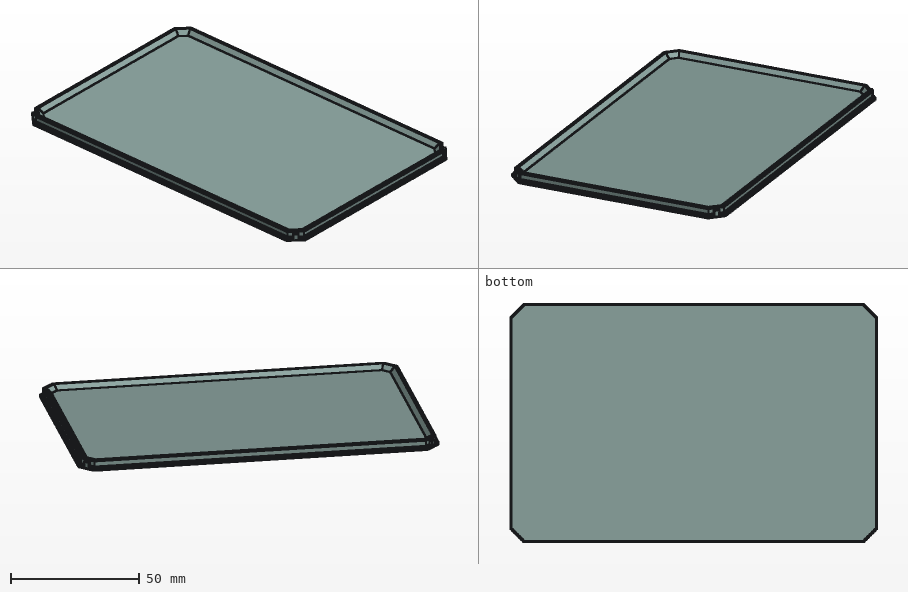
import cadquery as cq
import math

LENGTH = 143.0
WIDTH = 93.0
HEIGHT = 4.0
CORNER_CUT = 5.25


FLANGE_TOP = 0.95
FLANGE_BOTTOM_CHAMFER = 0.4
FLANGE_LEDGE = 0.65

WALL_INSET = 1.13
RIM_TOP_CHAMFER = 0.4
RIM_TOP_INNER_INSET = 2.27

FLOOR_Z = 2.0

TAB_WIDTH = 2.0
TAB_TOP = 3.0
TAB_DEPTH = 1.5


def add_outline(plane, inset):
    """Draw the cut-corner rectangle on a workplane, moved inwards by inset."""
    leg = CORNER_CUT - (2 - math.sqrt(2)) * inset
    x = LENGTH / 2 - inset
    y = WIDTH / 2 - inset
    return plane.polyline([
        (x - leg, -y), (x, leg - y), (x, y - leg), (x - leg, y),
        (leg - x, y), (-x, y - leg), (-x, leg - y), (leg - x, -y),
    ]).close()


def layer(bottom_z, bottom_inset, top_z, top_inset):
    """Solid between two levels, straight or sloped as the insets require."""
    rise = top_z - bottom_z
    base = add_outline(cq.Workplane("XY").workplane(offset=bottom_z), bottom_inset)
    if bottom_inset == top_inset:
        return base.extrude(rise)
    return add_outline(base.workplane(offset=rise), top_inset).loft(ruled=True)


def make_body():
    """Stack the flange and the rim wall as one solid block."""
    wall_bottom = FLANGE_TOP + WALL_INSET - FLANGE_LEDGE
    wall_top = HEIGHT - RIM_TOP_CHAMFER
    body = layer(0, FLANGE_BOTTOM_CHAMFER, FLANGE_BOTTOM_CHAMFER, 0)
    body = body.union(layer(FLANGE_BOTTOM_CHAMFER, 0, FLANGE_TOP, 0))
    body = body.union(layer(FLANGE_TOP, FLANGE_LEDGE, wall_bottom, WALL_INSET))
    body = body.union(layer(wall_bottom, WALL_INSET, wall_top, WALL_INSET))
    return body.union(layer(wall_top, WALL_INSET, HEIGHT, WALL_INSET + RIM_TOP_CHAMFER))


def make_tab(x_side, y_side):
    """Upright tab whose outer face is flush with the flange at one corner."""
    angle = math.degrees(math.atan2(y_side, x_side))
    tab_height = TAB_TOP - FLANGE_BOTTOM_CHAMFER
    tab = cq.Workplane("XY").box(TAB_DEPTH, TAB_WIDTH, tab_height, centered=(False, True, False))
    tab = tab.translate((-TAB_DEPTH, 0, FLANGE_BOTTOM_CHAMFER))
    tab = tab.rotate((0, 0, 0), (0, 0, 1), angle)
    return tab.translate((
        x_side * (LENGTH - CORNER_CUT) / 2,
        y_side * (WIDTH - CORNER_CUT) / 2,
        0,
    ))


def make_recess():
    """Sloped-sided cavity above the tray floor."""
    floor_inset = RIM_TOP_INNER_INSET + HEIGHT - FLOOR_Z
    return layer(FLOOR_Z, floor_inset, HEIGHT, RIM_TOP_INNER_INSET)


tray = make_body()
for x_side in (-1, 1):
    for y_side in (-1, 1):
        tray = tray.union(make_tab(x_side, y_side))

result = tray.cut(make_recess())